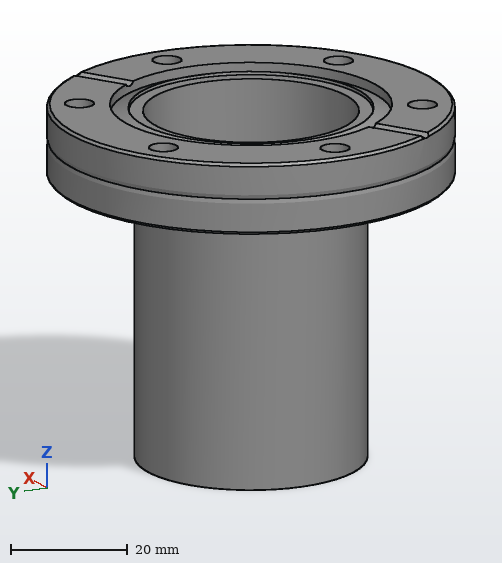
import cadquery as cq
import math

flange_diameter = 69.9
flange_thickness = 12.7
total_height = 63.0
tube_diameter = 40.0
bore_diameter = 37.0

rim_chamfer = 0.5
rim_groove_width = 1.5
rim_groove_depth = 0.2

recess_diameter = 48.3
knife_diameter = 42.0
knife_tip_depth = 0.65
knife_slope_angle = 20.0
inner_floor_diameter = 41.8
inner_floor_depth = 1.2

bolt_count = 6
bolt_circle_diameter = 58.7
bolt_hole_diameter = 5.0

leak_groove_angles = (30.0, 210.0)
leak_groove_width = 2.4
leak_groove_depth = 0.6

flange_radius = flange_diameter / 2
tube_radius = tube_diameter / 2
bore_radius = bore_diameter / 2
recess_radius = recess_diameter / 2
knife_radius = knife_diameter / 2
inner_floor_radius = inner_floor_diameter / 2
flange_bottom = total_height - flange_thickness
rim_middle = total_height - flange_thickness / 2
knife_tip_height = total_height - knife_tip_depth
inner_floor_height = total_height - inner_floor_depth
knife_slope_drop = (recess_radius - knife_radius) * math.tan(math.radians(knife_slope_angle))


def make_body():
    """Tube, flange, V-grooved rim and knife-edge recess as one revolved profile."""
    profile = (
        cq.Workplane("XZ")
        .moveTo(bore_radius, 0)
        .lineTo(tube_radius, 0)
        .lineTo(tube_radius, flange_bottom)
        .lineTo(flange_radius - rim_chamfer, flange_bottom)
        .lineTo(flange_radius, flange_bottom + rim_chamfer)
        .lineTo(flange_radius, rim_middle - rim_groove_width / 2)
        .lineTo(flange_radius - rim_groove_depth, rim_middle)
        .lineTo(flange_radius, rim_middle + rim_groove_width / 2)
        .lineTo(flange_radius, total_height - rim_chamfer)
        .lineTo(flange_radius - rim_chamfer, total_height)
        .lineTo(recess_radius, total_height)
        .lineTo(recess_radius, knife_tip_height - knife_slope_drop)
        .lineTo(knife_radius, knife_tip_height)
        .lineTo(inner_floor_radius, inner_floor_height)
        .lineTo(bore_radius, inner_floor_height)
        .close()
    )
    return profile.revolve(360, (0, 0, 0), (0, 1, 0))


def make_bolt_holes():
    """Through holes evenly spaced on the bolt circle, the first one on +X."""
    return (
        cq.Workplane("XY")
        .workplane(offset=flange_bottom)
        .polarArray(bolt_circle_diameter / 2, 0, 360, bolt_count)
        .circle(bolt_hole_diameter / 2)
        .extrude(flange_thickness)
    )


def make_leak_groove(angle):
    """Radial cylinder sunk into the top face, from inside the recess to beyond the rim."""
    half_width = leak_groove_width / 2
    groove_radius = (half_width**2 + leak_groove_depth**2) / (2 * leak_groove_depth)
    axis_height = total_height - leak_groove_depth + groove_radius
    inner_end = (recess_radius + knife_radius) / 2
    return (
        cq.Workplane("YZ")
        .workplane(offset=inner_end)
        .center(0, axis_height)
        .circle(groove_radius)
        .extrude(flange_radius - inner_end + groove_radius)
        .rotate((0, 0, 0), (0, 0, 1), angle)
    )


result = make_body().cut(make_bolt_holes())
for groove_angle in leak_groove_angles:
    result = result.cut(make_leak_groove(groove_angle))